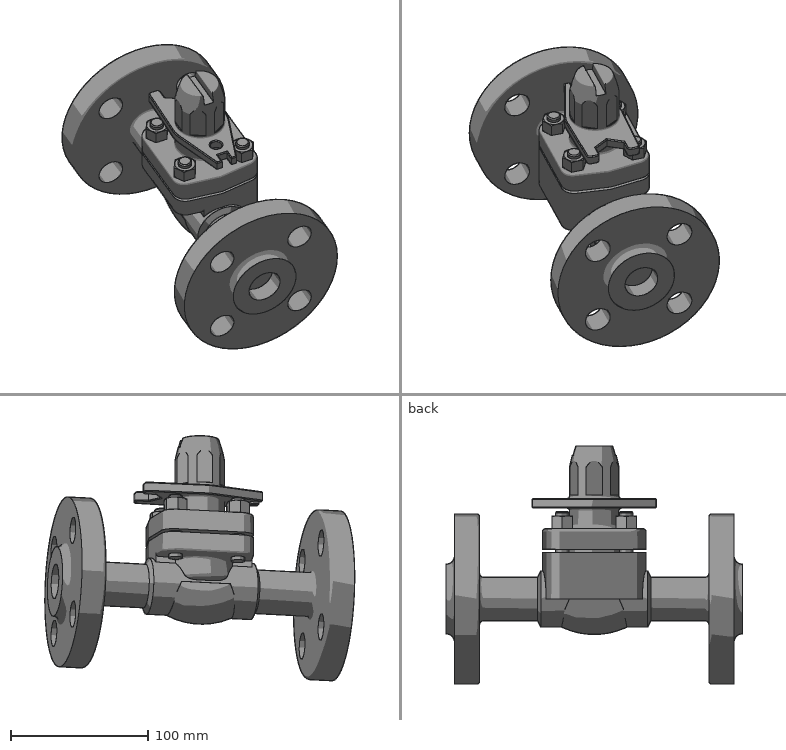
import cadquery as cq
import math

length = 216.0
top_z = 111.5

pipe_dia = 32.0
pipe_fillet = 2.5
flange_dia = 124.0
flange_thick = 18.4
flange_round = 2.2
hub_dia = 50.8
hub_length = 6.3
bore_dia = 25.0
bore_depth = 13.0
bolt_hole_dia = 19.0
bolt_hole_offset = 31.3

barrel_radius = 20.5
barrel_half_length = 41.3
barrel_chamfer_length = 2.4
belly_depth = 26.0
belly_side_radius = 20.7
belly_top_half_length = 18.1
belly_end_half_length = 26.8
neck_radius = 25.5
neck_bottom_z = 1.7
neck_round = 4.3
neck_flare = 3.0

cover_half_width = 33.5
cover_corner_radius = 9.7
cover_corner_x = 24.8
cover_apex_x = 37.8
cover_top_z = 51.2
cover_bottom_z = 36.0
body_flange_top_z = 34.0
body_flange_bottom_z = 19.2
back_wall_bottom_z = 0.0
back_wall_front_y = -14.0
cover_round = 2.4
gasket_radius = 21.5

stud_offset = 23.3
stud_dia = 10.0
stud_top_z = 63.5
stud_bottom_z = 16.6
stud_chamfer = 0.9
nut_flats = 15.1
nut_height = 9.3
nut_chamfer_slope = 0.5
nut_chamfer_dia = 15.0

stem_dia = 36.0
stem_fillet = 3.0
lever_bottom_z = 66.0
lever_top_z = 73.2
lever_fillet = 1.7
lever_disc_radius = 21.5
lever_left_x = -45.1
lever_left_half_width = 20.0
lever_right_x = 45.1
lever_right_half_width = 8.0
lever_chamfer = 0.75
lever_corner = 2.5
notch_half_width = 10.8
notch_step_x = -35.6
notch_apex_x = -29.0
fork_half_width = 3.7
fork_floor_x = 37.5
lever_hole_dia = 8.5
lever_hole_x = 27.2

cap_flats = 34.1
cap_flats_bottom_z = 75.8
cap_shoulder_z = 96.0
cap_top_radius = 13.8
cap_mid_radius = 16.5
cap_mid_z = 103.0
slot_width = 7.3
slot_depth = 7.1
cap_edge_round = 0.9

quarter_mid = 1 - math.sqrt(0.5)


def cylinder_z(radius, z_low, z_high):
    return cq.Workplane("XY").workplane(offset=z_low).circle(radius).extrude(z_high - z_low)


def pipe_end():
    """Half of the pipe with its flange and hub, at the -X end."""
    face_x = -length / 2
    outer_x = face_x + hub_length
    inner_x = outer_x + flange_thick
    hub_r = hub_dia / 2
    pipe_r = pipe_dia / 2
    flange_r = flange_dia / 2
    half = (
        cq.Workplane("XY")
        .moveTo(face_x, 0)
        .lineTo(face_x, hub_r)
        .threePointArc(
            (outer_x - quarter_mid * hub_length, hub_r + quarter_mid * hub_length),
            (outer_x, hub_r + hub_length),
        )
        .lineTo(outer_x, flange_r)
        .lineTo(inner_x - flange_round, flange_r)
        .threePointArc(
            (inner_x - quarter_mid * flange_round, flange_r - quarter_mid * flange_round),
            (inner_x, flange_r - flange_round),
        )
        .lineTo(inner_x, pipe_r + pipe_fillet)
        .threePointArc(
            (inner_x + quarter_mid * pipe_fillet, pipe_r + quarter_mid * pipe_fillet),
            (inner_x + pipe_fillet, pipe_r),
        )
        .lineTo(0, pipe_r)
        .lineTo(0, 0)
        .close()
        .revolve(360, (0, 0, 0), (1, 0, 0))
    )
    spacing = 2 * bolt_hole_offset
    bolt_holes = (
        cq.Workplane("YZ")
        .workplane(offset=face_x)
        .rarray(spacing, spacing, 2, 2)
        .circle(bolt_hole_dia / 2)
        .extrude(hub_length + flange_thick)
    )
    bore = cq.Workplane("YZ").workplane(offset=face_x).circle(bore_dia / 2).extrude(bore_depth)
    return half.cut(bolt_holes).cut(bore)


def barrel():
    """Thick middle of the pipe, coned down at both ends."""
    shoulder_x = barrel_half_length - barrel_chamfer_length
    return (
        cq.Workplane("XY")
        .polyline(
            [
                (-barrel_half_length, 0),
                (-barrel_half_length, pipe_dia / 2),
                (-shoulder_x, barrel_radius),
                (shoulder_x, barrel_radius),
                (barrel_half_length, pipe_dia / 2),
                (barrel_half_length, 0),
            ]
        )
        .close()
        .revolve(360, (0, 0, 0), (1, 0, 0))
    )


def belly():
    """Bulge under the barrel: a half-round section bent along an arc in the XZ plane."""
    section_z = belly_side_radius - belly_depth
    bend_radius = (belly_top_half_length**2 + section_z**2) / (2 * abs(section_z))
    bend_z = section_z + bend_radius
    bulge = (
        cq.Workplane("YZ")
        .moveTo(-belly_side_radius, bend_z)
        .lineTo(-belly_side_radius, section_z)
        .threePointArc((0, -belly_depth), (belly_side_radius, section_z))
        .lineTo(belly_side_radius, bend_z)
        .close()
        .revolve(360, (0, bend_z, 0), (1, bend_z, 0))
    )
    end_slope = (belly_end_half_length - belly_top_half_length) / barrel_radius
    bottom_half_length = belly_top_half_length + end_slope * belly_depth
    limits = (
        cq.Workplane("XZ")
        .polyline(
            [
                (-belly_top_half_length, 0),
                (belly_top_half_length, 0),
                (bottom_half_length, -belly_depth),
                (-bottom_half_length, -belly_depth),
            ]
        )
        .close()
        .extrude(belly_side_radius, both=True)
    )
    return bulge.intersect(limits)


def neck():
    """Upright round neck that joins the barrel to the body flange."""
    post = cylinder_z(neck_radius, neck_bottom_z, body_flange_bottom_z)
    post = post.faces("<Z").edges().fillet(neck_round)
    flare_z = body_flange_bottom_z - neck_flare
    flare = (
        cq.Workplane("XZ")
        .moveTo(0, flare_z)
        .lineTo(neck_radius, flare_z)
        .threePointArc(
            (neck_radius + quarter_mid * neck_flare, body_flange_bottom_z - quarter_mid * neck_flare),
            (neck_radius + neck_flare, body_flange_bottom_z),
        )
        .lineTo(0, body_flange_bottom_z)
        .close()
        .revolve(360, (0, 0, 0), (0, 1, 0))
    )
    return post.union(flare)


def cover_block(z_low, z_high):
    """Rounded block whose two ends come to a blunt point on the X axis."""
    corner_y = cover_half_width - cover_corner_radius
    reach_x = cover_apex_x - cover_corner_x
    reach = math.hypot(reach_x, corner_y)
    normal = math.acos(cover_corner_radius / reach) - math.atan2(corner_y, reach_x)

    def corner_point(angle, side_x):
        x = cover_corner_x + cover_corner_radius * math.cos(angle)
        y = corner_y + cover_corner_radius * math.sin(angle)
        return (side_x * x, y)

    straight_up = math.pi / 2
    middle = (normal + straight_up) / 2
    return (
        cq.Workplane("XY")
        .workplane(offset=z_low)
        .moveTo(cover_apex_x, 0)
        .lineTo(*corner_point(normal, 1))
        .threePointArc(corner_point(middle, 1), corner_point(straight_up, 1))
        .lineTo(*corner_point(straight_up, -1))
        .threePointArc(corner_point(middle, -1), corner_point(normal, -1))
        .lineTo(-cover_apex_x, 0)
        .mirrorX()
        .extrude(z_high - z_low)
    )


def stud_and_nut():
    """One stud with its nut; the nut has flats facing +X and -X."""
    stud = cylinder_z(stud_dia / 2, stud_bottom_z, stud_top_z).faces(">Z").chamfer(stud_chamfer)
    corner_dia = nut_flats / math.cos(math.pi / 6)
    nut = (
        cq.Workplane("XY")
        .workplane(offset=cover_top_z)
        .polygon(6, corner_dia)
        .extrude(nut_height)
        .rotate((0, 0, 0), (0, 0, 1), 30)
    )
    edge_cut = (corner_dia - nut_chamfer_dia) / 2
    nut_blank = cylinder_z(corner_dia / 2, cover_top_z, cover_top_z + nut_height)
    nut_blank = nut_blank.faces(">Z").chamfer(nut_chamfer_slope * edge_cut, edge_cut)
    return stud.union(nut.intersect(nut_blank))


def disc_tangent(x, y, side):
    """Angle on the lever disc where the straight edge from (x, y) touches it."""
    return math.atan2(y, x) + side * math.acos(lever_disc_radius / math.hypot(x, y))


def lever_plate():
    """Flat lever: notched wide arm, round middle and forked narrow arm."""
    left_touch = disc_tangent(lever_left_x, lever_left_half_width, -1)
    right_touch = disc_tangent(lever_right_x, lever_right_half_width, 1)

    def disc_point(angle):
        return (lever_disc_radius * math.cos(angle), lever_disc_radius * math.sin(angle))

    middle = (left_touch + right_touch) / 2
    plate = (
        cq.Workplane("XY")
        .workplane(offset=lever_bottom_z)
        .moveTo(notch_apex_x, 0)
        .lineTo(notch_step_x, notch_half_width)
        .lineTo(lever_left_x, notch_half_width)
        .lineTo(lever_left_x, lever_left_half_width)
        .lineTo(*disc_point(left_touch))
        .threePointArc(disc_point(middle), disc_point(right_touch))
        .lineTo(lever_right_x, lever_right_half_width)
        .lineTo(lever_right_x, fork_half_width)
        .lineTo(fork_floor_x, fork_half_width)
        .lineTo(fork_floor_x, 0)
        .mirrorX()
        .extrude(lever_top_z - lever_bottom_z)
        .clean()
    )
    plate = plate.edges("|Z and <X").fillet(lever_corner)
    hole = cylinder_z(lever_hole_dia / 2, lever_bottom_z, lever_top_z)
    plate = plate.cut(hole.translate((lever_hole_x, 0, 0)))
    return plate.faces("<Z or >Z").edges().chamfer(lever_chamfer)


def stem_and_cap():
    """Stem and cap: round core flared at the cover and lever, six flats, screwdriver slot."""
    stem_r = stem_dia / 2
    core = (
        cq.Workplane("XZ")
        .moveTo(0, cover_top_z)
        .lineTo(stem_r + stem_fillet, cover_top_z)
        .threePointArc(
            (stem_r + quarter_mid * stem_fillet, cover_top_z + quarter_mid * stem_fillet),
            (stem_r, cover_top_z + stem_fillet),
        )
        .lineTo(stem_r, lever_bottom_z - lever_fillet)
        .threePointArc(
            (stem_r + quarter_mid * lever_fillet, lever_bottom_z - quarter_mid * lever_fillet),
            (stem_r + lever_fillet, lever_bottom_z),
        )
        .lineTo(stem_r + lever_fillet, lever_top_z)
        .threePointArc(
            (stem_r + quarter_mid * lever_fillet, lever_top_z + quarter_mid * lever_fillet),
            (stem_r, lever_top_z + lever_fillet),
        )
        .lineTo(stem_r, cap_shoulder_z)
        .threePointArc((cap_mid_radius, cap_mid_z), (cap_top_radius, top_z))
        .lineTo(0, top_z)
        .close()
        .revolve(360, (0, 0, 0), (0, 1, 0))
    )
    flats_height = top_z - cap_flats_bottom_z
    flat_count = 6
    step = 360 / flat_count
    for index in range(flat_count):
        flat_cut = (
            cq.Workplane("XY")
            .box(stem_r, stem_dia, flats_height, centered=(False, True, False))
            .translate((cap_flats / 2, 0, cap_flats_bottom_z))
            .rotate((0, 0, 0), (0, 0, 1), (index + 0.5) * step)
        )
        core = core.cut(flat_cut)
    slot = cq.Workplane("XY").box(stem_dia, slot_width, slot_depth, centered=(True, True, False))
    cap = core.cut(slot.translate((0, 0, top_z - slot_depth)))
    return cap.faces(">Z").edges().fillet(cap_edge_round)


def body_flange():
    """Flange on top of the body; toward +Y its wall runs down beside the barrel."""
    flange = cover_block(body_flange_bottom_z, body_flange_top_z).faces("<Z").edges().fillet(cover_round)
    back_part = cq.Workplane("XY").box(
        2 * cover_apex_x,
        cover_half_width - back_wall_front_y,
        2 * body_flange_top_z,
        centered=(True, False, True),
    )
    back_wall = cover_block(back_wall_bottom_z, body_flange_top_z).intersect(
        back_part.translate((0, back_wall_front_y, 0))
    )
    return flange.union(back_wall)


left_end = pipe_end()
cover = cover_block(cover_bottom_z, cover_top_z).faces(">Z").edges().fillet(cover_round)

result = left_end.union(left_end.mirror("YZ"))
result = result.union(barrel()).union(belly()).union(neck())
result = result.union(body_flange()).union(cover)
result = result.union(cylinder_z(gasket_radius, body_flange_top_z, cover_bottom_z))
for side_x in (-1, 1):
    for side_y in (-1, 1):
        result = result.union(stud_and_nut().translate((side_x * stud_offset, side_y * stud_offset, 0)))
result = result.union(lever_plate()).union(stem_and_cap())